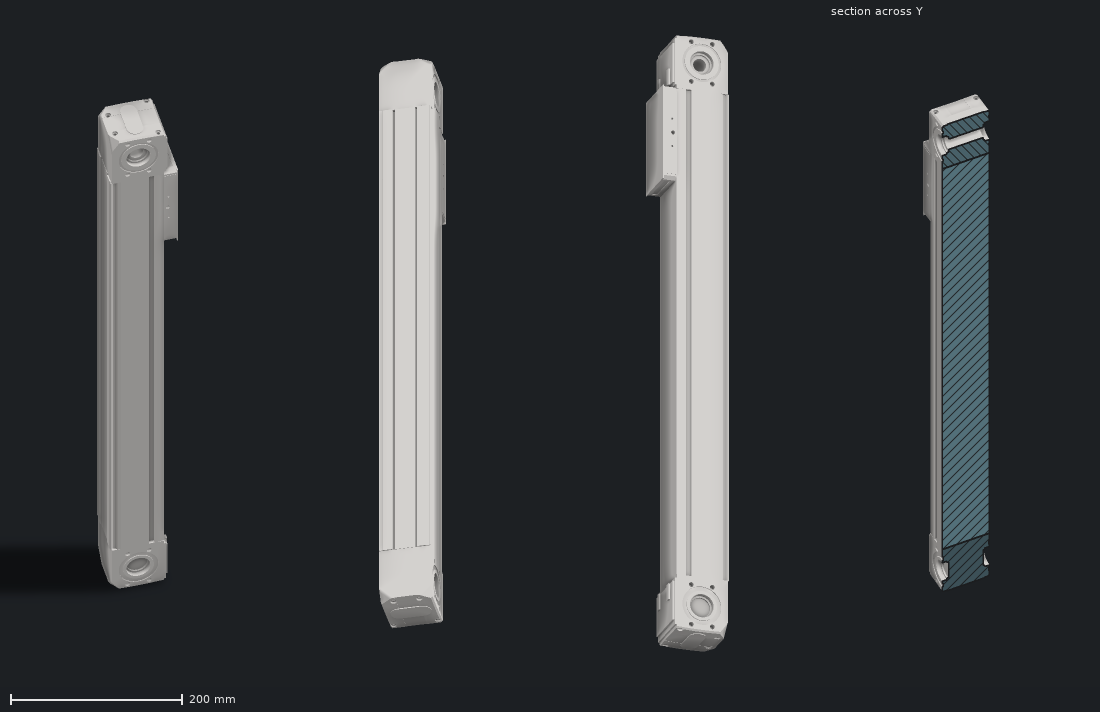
import cadquery as cq

WIDTH = 62.0
HALF_WIDTH = WIDTH / 2
TOTAL_LENGTH = 751.0
TOTAL_DEPTH = 82.0
PROFILE_DEPTH = 65.0
PROFILE_LENGTH = 613.0
END_HEIGHT = (TOTAL_LENGTH - PROFILE_LENGTH) / 2

FOOT_EDGE_X = 30.5
FOOT_RIDGE_X = 26.0
FOOT_RELIEF = 0.7
FRONT_SLOT_INNER_X = 12.0
FRONT_SLOT_OUTER_X = 15.0
FRONT_SLOT_DEPTH = 6.0
FRONT_PANEL_Y = 1.0
LIP_Y = 1.2
CLAMP_FLOOR_START_Y = 3.5
CLAMP_FLOOR_END_Y = 6.0
CLAMP_EDGE_Y = 8.5
CLAMP_EDGE_X = 30.6
CLAMP_FLOOR_X = 28.0
SIDE_START_Y = 12.7
SIDE_SLOT_START_Y = 46.6
SIDE_SLOT_END_Y = 53.4
SIDE_SLOT_DEPTH = 4.0
BACK_CORNER_X = 29.9
BACK_ARC_BULGE = 0.25

HEAD_FRONT_Y = 1.5
HEAD_MID_Y = (HEAD_FRONT_Y + PROFILE_DEPTH) / 2
COVER_HEIGHT = 0.8
HEAD_HEIGHT = END_HEIGHT - COVER_HEIGHT
CROWN_DROP = 1.0
SIDE_EDGE_CHAMFER = 2.0
COVER_LENGTH = 48.5
COVER_WIDTH = 20.0
COVER_CENTER_Y = 34.0
CHANNEL_WIDTH = 25.0
CHANNEL_DEPTH = 0.3
CORNER_LEG = 15.4
CORNER_DEPTH = 11.0
CORNER_FILLET = 5.0
BACK_PLATES = [
    (HALF_WIDTH, 67.0, 4.5, 63.0),
    (29.0, 69.4, 8.0, 57.0),
]
LUG_INNER_X = 14.0
LUG_WIDTH = 6.0
LUG_BACK_Y = 71.6
LUG_START_Z = 8.0
LUG_END_Z = 28.0
BEARING_Y = 34.0
BEARING_HEIGHT = 35.7
RING_OUTER_DIAMETER = 48.0
UPPER_RING_INNER_DIAMETER = 42.0
LOWER_RING_INNER_DIAMETER = 37.34
RING_DEPTH = 1.0
SEAT_DIAMETER = 29.2
SEAT_DEPTH = 6.0
BORE_DIAMETER = 24.5
BORE_DEPTH = 8.0
SHAFT_DIAMETER = 16.0
SIDE_SCREW_Y_OFFSET = 13.0
SIDE_SCREW_Z_OFFSET = 25.0
SIDE_SCREW_DIAMETER = 6.0
SIDE_SCREW_DEPTH = 8.0
SCREW_HEAD_DIAMETER = 7.0
SCREW_HOLE_DIAMETER = 4.13
SCREW_HEAD_DEPTH = 3.0
SCREW_HOLE_DEPTH = 12.0
END_SCREW_BACK = (26.5, 59.0)
END_SCREW_FRONT = (15.5, 9.5)

CARRIAGE_TOP_Z = 308.7
CARRIAGE_LENGTH = 117.6
CARRIAGE_MID_Z = CARRIAGE_TOP_Z - CARRIAGE_LENGTH / 2
END_CAP_CHAMFER = 4.0
END_CAP_HEIGHT = 6.5
END_CAP_INSET = 0.4
END_CAP_BACK_Y = 80.7
END_RECESS_WIDTH = 46.0
END_RECESS_DEPTH = 1.0
END_RECESS_START_Y = 71.0
END_RECESS_END_Y = 77.5
LUBE_HOLE_DIAMETER = 4.92
LUBE_HOLE_Y = 69.5
SIDE_HOLE_DIAMETER = 2.46
SIDE_HOLE_Y = 70.5
SIDE_HOLE_SPACING = 17.3
SIDE_HOLE_DEPTH = 8.0


def block(half_width, start_y, end_y, start_z, end_z):
    """Box centred on X = 0, between two Y and two Z values."""
    size = (2 * half_width, end_y - start_y, end_z - start_z)
    return cq.Workplane("XY").box(*size, centered=(True, False, False)).translate((0, start_y, start_z))


def side_drill(diameter, depth, y, z):
    """Cylinders that sink into both X sides of the part at one place."""
    start = cq.Workplane("YZ", origin=(HALF_WIDTH - depth, 0, 0)).center(y, z)
    drill = start.circle(diameter / 2).extrude(depth)
    return drill.union(drill.mirror("YZ"))


def build_profile():
    """Extruded beam with foot clamp grooves, front slots and side slots."""
    half = (
        cq.Workplane("XY", origin=(0, 0, -PROFILE_LENGTH / 2))
        .moveTo(0, FRONT_PANEL_Y)
        .lineTo(FRONT_SLOT_INNER_X, FRONT_PANEL_Y)
        .lineTo(FRONT_SLOT_INNER_X, FRONT_SLOT_DEPTH)
        .lineTo(FRONT_SLOT_OUTER_X, FRONT_SLOT_DEPTH)
        .lineTo(FRONT_SLOT_OUTER_X, 0)
        .lineTo(FOOT_RIDGE_X, 0)
        .threePointArc(((FOOT_RIDGE_X + FOOT_EDGE_X) / 2, FOOT_RELIEF), (FOOT_EDGE_X, 0))
        .lineTo(HALF_WIDTH, LIP_Y)
        .lineTo(CLAMP_FLOOR_X, CLAMP_FLOOR_START_Y)
        .lineTo(CLAMP_FLOOR_X, CLAMP_FLOOR_END_Y)
        .lineTo(CLAMP_EDGE_X, CLAMP_EDGE_Y)
        .lineTo(HALF_WIDTH, SIDE_START_Y)
        .lineTo(HALF_WIDTH, SIDE_SLOT_START_Y)
        .lineTo(HALF_WIDTH - SIDE_SLOT_DEPTH, SIDE_SLOT_START_Y)
        .lineTo(HALF_WIDTH - SIDE_SLOT_DEPTH, SIDE_SLOT_END_Y)
        .lineTo(HALF_WIDTH, SIDE_SLOT_END_Y)
        .sagittaArc((BACK_CORNER_X, PROFILE_DEPTH), -BACK_ARC_BULGE)
        .lineTo(0, PROFILE_DEPTH)
        .close()
        .extrude(PROFILE_LENGTH)
    )
    return half.union(half.mirror("YZ"))


def corner_wedge():
    """Tetrahedron that slants the upper front +X corner of a head."""
    tip = cq.Vector(HALF_WIDTH, HEAD_FRONT_Y, HEAD_HEIGHT)
    along_x = tip - cq.Vector(CORNER_LEG, 0, 0)
    along_y = tip + cq.Vector(0, CORNER_DEPTH, 0)
    along_z = tip - cq.Vector(0, 0, CORNER_LEG)
    triangles = [
        (tip, along_x, along_y),
        (tip, along_y, along_z),
        (tip, along_z, along_x),
        (along_x, along_y, along_z),
    ]
    faces = [cq.Face.makeFromWires(cq.Wire.makePolygon(list(t), close=True)) for t in triangles]
    return cq.Workplane(cq.Solid.makeSolid(cq.Shell.makeShell(faces)))


def crowned_block(width, height):
    """Block on Z = 0 whose top is an arc from front to back."""
    return (
        cq.Workplane("YZ", origin=(-width / 2, 0, 0))
        .moveTo(HEAD_FRONT_Y, 0)
        .lineTo(PROFILE_DEPTH, 0)
        .lineTo(PROFILE_DEPTH, height - CROWN_DROP)
        .threePointArc((HEAD_MID_Y, height), (HEAD_FRONT_Y, height - CROWN_DROP))
        .close()
        .extrude(width)
    )


def crown_channel():
    """Shallow channel that runs over the crown from front to back."""
    upper = crowned_block(CHANNEL_WIDTH, HEAD_HEIGHT)
    return upper.cut(crowned_block(CHANNEL_WIDTH, HEAD_HEIGHT - CHANNEL_DEPTH))


def head_blank():
    """Head casting without holes, standing on Z = 0."""
    blank = crowned_block(WIDTH, HEAD_HEIGHT)
    blank = blank.faces(">Z").edges("<X or >X").chamfer(SIDE_EDGE_CHAMFER)
    wedge = corner_wedge()
    blank = blank.cut(wedge).cut(wedge.mirror("YZ"))
    slant_edges = blank.faces("<Y").edges(
        cq.selectors.BoxSelector(
            (-HALF_WIDTH, 0, HEAD_HEIGHT - CORNER_LEG),
            (HALF_WIDTH, 2 * HEAD_FRONT_Y, HEAD_HEIGHT - 2 * CROWN_DROP),
        )
    )
    blank = slant_edges.fillet(CORNER_FILLET)
    for half_width, outer_y, bottom, top in BACK_PLATES:
        blank = blank.union(block(half_width, HEAD_MID_Y, outer_y, bottom, top))
    for sign in (-1, 1):
        lug = block(LUG_WIDTH / 2, HEAD_MID_Y, LUG_BACK_Y, LUG_START_Z, LUG_END_Z)
        blank = blank.union(lug.translate((sign * (LUG_INNER_X + LUG_WIDTH / 2), 0, 0)))
    blank = blank.cut(crown_channel())
    cover = (
        cq.Workplane("XY", origin=(0, COVER_CENTER_Y, BEARING_HEIGHT))
        .slot2D(COVER_LENGTH, COVER_WIDTH)
        .extrude(END_HEIGHT - BEARING_HEIGHT)
    )
    return blank.union(cover)


def cut_screw_holes(head):
    """Plain screw holes round both bearings and counterbored ones in the end face."""
    for y_sign in (-1, 1):
        for z_sign in (-1, 1):
            y = BEARING_Y + y_sign * SIDE_SCREW_Y_OFFSET
            z = BEARING_HEIGHT + z_sign * SIDE_SCREW_Z_OFFSET
            head = head.cut(side_drill(SIDE_SCREW_DIAMETER, SIDE_SCREW_DEPTH, y, z))
    end_points = [(sign * x, y) for x, y in (END_SCREW_BACK, END_SCREW_FRONT) for sign in (-1, 1)]
    for diameter, depth in (
        (SCREW_HEAD_DIAMETER, SCREW_HEAD_DEPTH),
        (SCREW_HOLE_DIAMETER, SCREW_HOLE_DEPTH),
    ):
        floor = cq.Workplane("XY", origin=(0, 0, HEAD_HEIGHT - depth))
        head = head.cut(floor.pushPoints(end_points).circle(diameter / 2).extrude(END_HEIGHT))
    return head


def build_head(ring_inner_diameter, bearing_steps):
    """Head with a ring groove and stepped bearing recesses, given as (diameter, depth), on both sides."""
    head = cut_screw_holes(head_blank())
    ring = side_drill(RING_OUTER_DIAMETER, RING_DEPTH, BEARING_Y, BEARING_HEIGHT)
    ring = ring.cut(side_drill(ring_inner_diameter, RING_DEPTH, BEARING_Y, BEARING_HEIGHT))
    head = head.cut(ring)
    for diameter, depth in bearing_steps:
        head = head.cut(side_drill(diameter, depth, BEARING_Y, BEARING_HEIGHT))
    return head


def build_upper_head():
    """Drive head with a hollow shaft bore from side to side."""
    steps = [(SEAT_DIAMETER, SEAT_DEPTH), (BORE_DIAMETER, BORE_DEPTH), (SHAFT_DIAMETER, WIDTH)]
    return build_head(UPPER_RING_INNER_DIAMETER, steps).translate((0, 0, PROFILE_LENGTH / 2))


def build_lower_head():
    """Deflection head, upside down, with blind bearing recesses."""
    steps = [(SEAT_DIAMETER, SEAT_DEPTH), (BORE_DIAMETER, BORE_DEPTH)]
    return build_head(LOWER_RING_INNER_DIAMETER, steps).mirror("XY").translate((0, 0, -PROFILE_LENGTH / 2))


def end_cap_trim():
    """Material removed at the upper +X edge of the carriage, which leaves a chamfered, inset end cap."""
    cap_x = HALF_WIDTH - END_CAP_INSET
    return (
        cq.Workplane("XZ", origin=(0, PROFILE_DEPTH, 0))
        .moveTo(cap_x - END_CAP_CHAMFER, CARRIAGE_TOP_Z)
        .lineTo(HALF_WIDTH, CARRIAGE_TOP_Z)
        .lineTo(HALF_WIDTH, CARRIAGE_TOP_Z - END_CAP_HEIGHT)
        .lineTo(cap_x, CARRIAGE_TOP_Z - END_CAP_HEIGHT)
        .lineTo(cap_x, CARRIAGE_TOP_Z - END_CAP_CHAMFER)
        .close()
        .extrude(PROFILE_DEPTH - END_CAP_BACK_Y)
    )


def build_carriage():
    """Sliding carriage on the back of the profile."""
    bottom_z = CARRIAGE_TOP_Z - CARRIAGE_LENGTH
    carriage = block(HALF_WIDTH, PROFILE_DEPTH, TOTAL_DEPTH, bottom_z, CARRIAGE_TOP_Z)
    trim = end_cap_trim()
    for side_trim in (trim, trim.mirror("YZ")):
        carriage = carriage.cut(side_trim)
        carriage = carriage.cut(side_trim.mirror("XY", (0, 0, CARRIAGE_MID_Z)))
    recess = (END_RECESS_WIDTH / 2, END_RECESS_START_Y, END_RECESS_END_Y)
    carriage = carriage.cut(block(*recess, CARRIAGE_TOP_Z - END_RECESS_DEPTH, CARRIAGE_TOP_Z))
    carriage = carriage.cut(block(*recess, bottom_z, bottom_z + END_RECESS_DEPTH))
    for offset in (-SIDE_HOLE_SPACING, SIDE_HOLE_SPACING):
        hole = side_drill(SIDE_HOLE_DIAMETER, SIDE_HOLE_DEPTH, SIDE_HOLE_Y, CARRIAGE_MID_Z + offset)
        carriage = carriage.cut(hole)
    return carriage.cut(side_drill(LUBE_HOLE_DIAMETER, SIDE_HOLE_DEPTH, LUBE_HOLE_Y, CARRIAGE_MID_Z))


profile = build_profile()
upper_head = build_upper_head()
lower_head = build_lower_head()
carriage = build_carriage()

result = cq.Compound.makeCompound([profile.val(), upper_head.val(), lower_head.val(), carriage.val()])